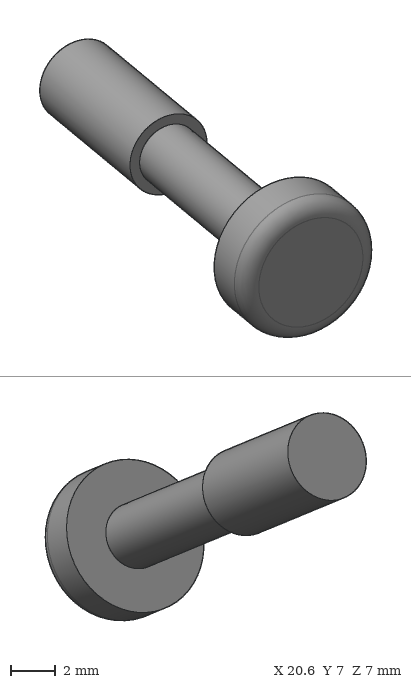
import cadquery as cq

tip_diameter = 4.0
tip_length = 8.0
shank_diameter = 3.0
shank_length = 10.0
head_diameter = 7.0
head_thickness = 2.6
head_edge_radius = 0.8

shank_start = tip_length
head_start = shank_start + shank_length


def axial_cylinder(start, length, diameter):
    """Solid cylinder on the X axis, running from start toward +X."""
    return cq.Workplane("YZ", origin=(start, 0, 0)).circle(diameter / 2).extrude(length)


def rounded_head():
    """Disc head with its outer edge rounded on the far face."""
    disc = axial_cylinder(head_start, head_thickness, head_diameter)
    return disc.faces(">X").edges().fillet(head_edge_radius)


tip = axial_cylinder(0, tip_length, tip_diameter)
shank = axial_cylinder(shank_start, shank_length, shank_diameter)

result = tip.union(shank).union(rounded_head())